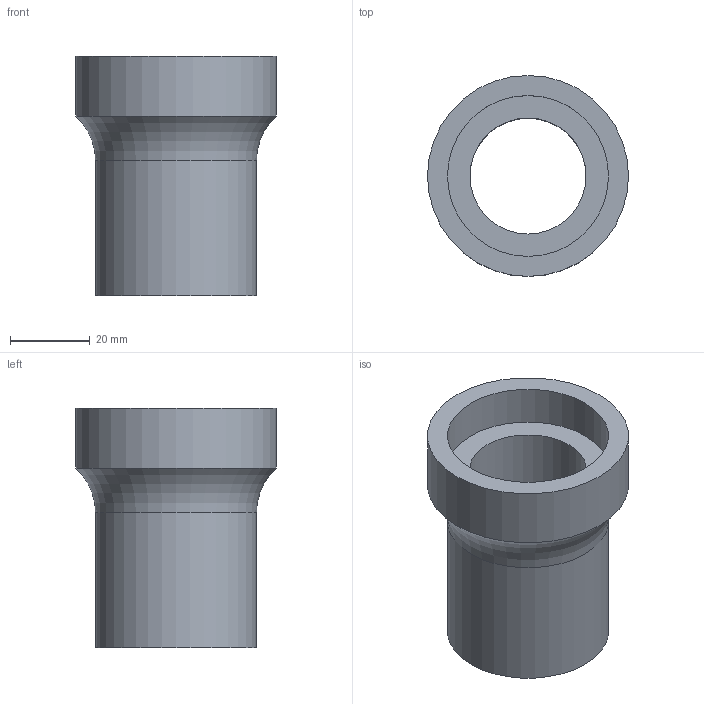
import cadquery as cq
import math

total_height = 60.0
head_diameter = 50.25
head_height = 15.0
tube_diameter = 40.25
bore_diameter = 29.0
socket_diameter = 40.25
socket_depth = 10.0
neck_radius = 15.0

head_radius = head_diameter / 2
tube_radius = tube_diameter / 2
head_bottom = total_height - head_height
socket_floor = total_height - socket_depth

neck_angle = math.acos(1 - (head_radius - tube_radius) / neck_radius)
neck_bottom = head_bottom - neck_radius * math.sin(neck_angle)
neck_middle = (
    tube_radius + neck_radius * (1 - math.cos(neck_angle / 2)),
    neck_bottom + neck_radius * math.sin(neck_angle / 2),
)


def make_outer_body():
    """Tube, concave neck and wider head, revolved about Z."""
    return (
        cq.Workplane("XZ")
        .lineTo(tube_radius, 0)
        .lineTo(tube_radius, neck_bottom)
        .threePointArc(neck_middle, (head_radius, head_bottom))
        .lineTo(head_radius, total_height)
        .lineTo(0, total_height)
        .close()
        .revolve(360, (0, 0, 0), (0, 1, 0))
    )


def make_bore():
    """Through hole along the whole axis."""
    return cq.Workplane("XY").circle(bore_diameter / 2).extrude(total_height)


def make_socket():
    """Flat-bottomed counterbore in the top of the head."""
    return (
        cq.Workplane("XY")
        .workplane(offset=socket_floor)
        .circle(socket_diameter / 2)
        .extrude(socket_depth)
    )


result = make_outer_body().cut(make_bore()).cut(make_socket())